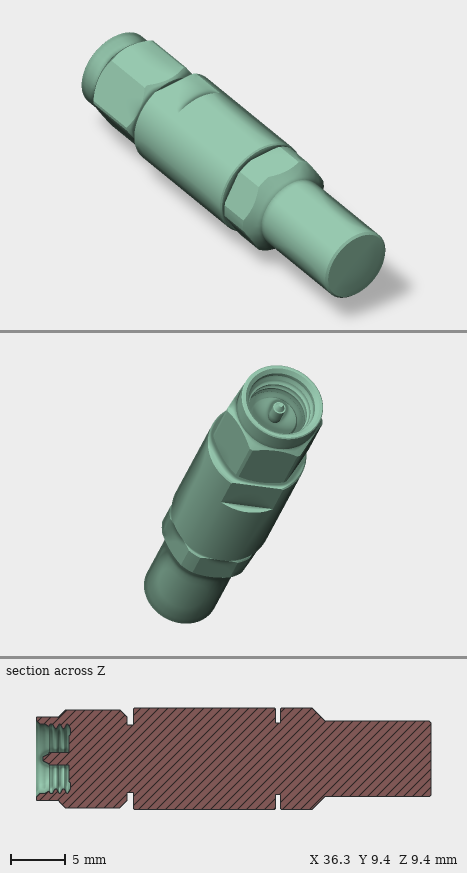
import cadquery as cq
import math


LENGTH = 36.32
HEX_START = 2.0
HEX_END = 8.37
BODY_START = 8.92
FLAT_END = 12.67
BODY_END = 22.03
NUT_START = 22.45
NUT_CONE_START = 25.35

NOSE_D = 7.76
NOSE_CHAMFER = 0.1
HEX_FLATS = 8.0
HEX_CORNER_D = 9.06
HEX_CHAMFER = 0.7

FRONT_NECK_D = 6.28
BODY_D = 9.4
BODY_CHAMFER = 0.13
BODY_FLATS = 8.0
REAR_NECK_D = 6.59
NUT_FLATS = 8.7
NUT_CORNER_D = BODY_D
NUT_CHAMFER = 0.1
FERRULE_D = 7.01
FERRULE_CHAMFER = 0.2

MOUTH_D = 7.01
MOUTH_DEPTH = 0.35
THREAD_MAJOR_D = 6.35
LEAD_IN_START = 0.8
LEAD_IN_END = 1.18
LEAD_IN_D = 5.9
THREAD_MINOR_D = 5.55
THREAD_PITCH = 25.4 / 36
THREAD_HALF_ANGLE = math.radians(30)
THREAD_CRESTS = 3
CREST_WIDTH = 0.17
FIRST_CREST = 1.72
SOCKET_DEPTH = 3.14

DIELECTRIC_D = 4.45
DIELECTRIC_CHAMFER = 0.15
DIELECTRIC_EMBED = 1.0
PIN_D = 1.19
PIN_SHOULDER = 1.15
PIN_TIP_D = 0.94
PIN_TIP_START = 0.62
PIN_POINT_D = 0.4


def revolve_about_x(points):
    """Solid of revolution from (x, diameter) points, closed along the axis."""
    first_x = points[0][0]
    last_x = points[-1][0]
    outline = [(first_x, 0)] + [(x, diameter / 2) for x, diameter in points] + [(last_x, 0)]
    return cq.Workplane("XY").polyline(outline).close().revolve(360, (0, 0, 0), (1, 0, 0))


def hex_bar(start, end, across_flats):
    """Hexagonal bar along X with a pair of flats facing +Z and -Z."""
    across_corners = across_flats / math.cos(math.pi / 6)
    return cq.Workplane("YZ", origin=(start, 0, 0)).polygon(6, across_corners).extrude(end - start)


def coupling_nut():
    """Round nose followed by a hexagon with chamfered corners."""
    nose = revolve_about_x([
        (0, NOSE_D - 2 * NOSE_CHAMFER),
        (NOSE_CHAMFER, NOSE_D),
        (HEX_START, NOSE_D),
    ])
    envelope = revolve_about_x([
        (HEX_START, HEX_CORNER_D - 2 * HEX_CHAMFER),
        (HEX_START + HEX_CHAMFER, HEX_CORNER_D),
        (HEX_END - HEX_CHAMFER, HEX_CORNER_D),
        (HEX_END, HEX_CORNER_D - 2 * HEX_CHAMFER),
    ])
    return nose.union(hex_bar(HEX_START, HEX_END, HEX_FLATS).intersect(envelope))


def body():
    """Chamfered barrel with two wrench flats at its front end."""
    barrel = revolve_about_x([
        (BODY_START, BODY_D - 2 * BODY_CHAMFER),
        (BODY_START + BODY_CHAMFER, BODY_D),
        (BODY_END - BODY_CHAMFER, BODY_D),
        (BODY_END, BODY_D - 2 * BODY_CHAMFER),
    ])
    flat_length = FLAT_END - BODY_START
    flat_centre = (BODY_START + FLAT_END) / 2
    beyond_flats = cq.Workplane("XY").box(flat_length, BODY_D, 2 * BODY_D)
    between_flats = cq.Workplane("XY").box(flat_length, BODY_D, BODY_FLATS)
    return barrel.cut(beyond_flats.cut(between_flats).translate((flat_centre, 0, 0)))


def clamp_nut():
    """Hexagon that tapers at 45 degrees down to the ferrule."""
    cone_end = NUT_CONE_START + (NUT_CORNER_D - FERRULE_D) / 2
    envelope = revolve_about_x([
        (NUT_START, NUT_CORNER_D - 2 * NUT_CHAMFER),
        (NUT_START + NUT_CHAMFER, NUT_CORNER_D),
        (NUT_CONE_START, NUT_CORNER_D),
        (cone_end, FERRULE_D),
    ])
    return hex_bar(NUT_START, cone_end, NUT_FLATS).intersect(envelope)


def core():
    """Front neck, rear neck and ferrule joining the hexagons to the body."""
    return revolve_about_x([
        (HEX_END - HEX_CHAMFER, FRONT_NECK_D),
        (BODY_START + BODY_CHAMFER, FRONT_NECK_D),
        (BODY_START + BODY_CHAMFER, REAR_NECK_D),
        (NUT_CONE_START, REAR_NECK_D),
        (NUT_CONE_START, FERRULE_D),
        (LENGTH - FERRULE_CHAMFER, FERRULE_D),
        (LENGTH, FERRULE_D - 2 * FERRULE_CHAMFER),
    ])


def flank_length(crest_d):
    """Axial run of a thread flank from the root to a crest of this diameter."""
    return (THREAD_MAJOR_D - crest_d) / 2 * math.tan(THREAD_HALF_ANGLE)


def socket():
    """Space inside the coupling nut: mouth cone, lead-in cone and thread as ring grooves."""
    flank = flank_length(THREAD_MINOR_D)
    profile = [
        (0, MOUTH_D),
        (MOUTH_DEPTH, THREAD_MAJOR_D),
        (LEAD_IN_START, THREAD_MAJOR_D),
        (LEAD_IN_END, LEAD_IN_D),
        (LEAD_IN_END + flank_length(LEAD_IN_D), THREAD_MAJOR_D),
    ]
    for index in range(THREAD_CRESTS):
        crest_start = FIRST_CREST + index * THREAD_PITCH
        crest_end = min(crest_start + CREST_WIDTH, SOCKET_DEPTH)
        profile.append((crest_start - flank, THREAD_MAJOR_D))
        profile.append((crest_start, THREAD_MINOR_D))
        profile.append((crest_end, THREAD_MINOR_D))
        if crest_end < SOCKET_DEPTH:
            profile.append((crest_end + flank, THREAD_MAJOR_D))
    return revolve_about_x(profile)


def dielectric_and_pin():
    """Centre pin with a conical tip on a slightly raised dielectric disc."""
    dielectric_face = SOCKET_DEPTH - DIELECTRIC_CHAMFER
    return revolve_about_x([
        (PIN_TIP_START, PIN_POINT_D),
        (PIN_SHOULDER, PIN_TIP_D),
        (PIN_SHOULDER, PIN_D),
        (dielectric_face, PIN_D),
        (dielectric_face, DIELECTRIC_D - 2 * DIELECTRIC_CHAMFER),
        (SOCKET_DEPTH, DIELECTRIC_D),
        (SOCKET_DEPTH + DIELECTRIC_EMBED, DIELECTRIC_D),
    ])


result = (
    coupling_nut()
    .union(core())
    .union(body())
    .union(clamp_nut())
    .cut(socket())
    .union(dielectric_and_pin())
)